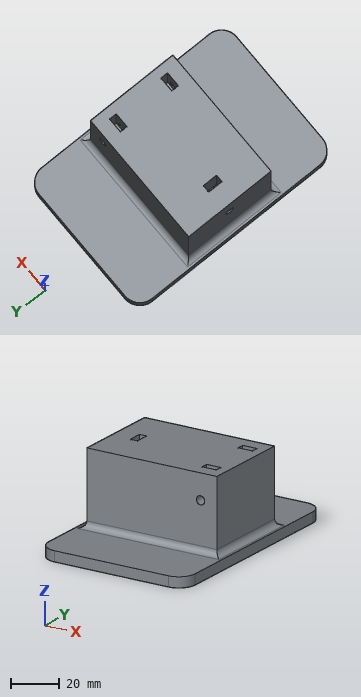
import cadquery as cq

plate_x = 72.0
plate_y = 105.6
plate_z = 5.0
plate_corner_radius = 8.0

total_z = 40.0
block_x = 64.0
block_y = 44.0
block_z = total_z - plate_z
foot_radius = 3.0

slot_length = 7.0
slot_width = 3.5
pair_slot_x = 24.0
pair_slot_y = 13.7
single_slot_x = -20.8
pin_diameter = 4.0
pin_depth = 12.0
pin_z = total_z - pin_depth
slot_depth = pin_depth + slot_length / 2


def make_plate():
    plate = cq.Workplane("XY").box(plate_x, plate_y, plate_z, centered=(True, True, False))
    return plate.edges("|Z").fillet(plate_corner_radius)


def make_block():
    return (
        cq.Workplane("XY")
        .workplane(offset=plate_z)
        .box(block_x, block_y, block_z, centered=(True, True, False))
    )


def make_foot_cove():
    """Concave flare around the block, with mitred corners."""
    reach_x = block_x / 2 + foot_radius
    reach_y = block_y / 2 + foot_radius
    foot = (
        cq.Workplane("XY")
        .workplane(offset=plate_z)
        .box(2 * reach_x, 2 * reach_y, foot_radius, centered=(True, True, False))
    )
    cove_z = plate_z + foot_radius
    for side in (-1, 1):
        groove_along_y = (
            cq.Workplane("XZ", origin=(side * reach_x, reach_y, cove_z))
            .circle(foot_radius)
            .extrude(2 * reach_y)
        )
        groove_along_x = (
            cq.Workplane("YZ", origin=(-reach_x, side * reach_y, cove_z))
            .circle(foot_radius)
            .extrude(2 * reach_x)
        )
        foot = foot.cut(groove_along_y).cut(groove_along_x)
    return foot


def make_slot(x, y, size_x, size_y):
    return (
        cq.Workplane("XY")
        .workplane(offset=total_z - slot_depth)
        .center(x, y)
        .rect(size_x, size_y)
        .extrude(slot_depth)
    )


def make_cross_pin_hole():
    """Hole along Y through the whole block, crossing both paired slots."""
    return (
        cq.Workplane("XZ", origin=(pair_slot_x, block_y / 2, pin_z))
        .circle(pin_diameter / 2)
        .extrude(block_y)
    )


def make_end_pin_hole():
    """Blind hole along X from the -X face to the far wall of the single slot."""
    hole_end_x = single_slot_x + slot_width / 2
    return (
        cq.Workplane("YZ")
        .workplane(offset=-block_x / 2)
        .center(0, pin_z)
        .circle(pin_diameter / 2)
        .extrude(hole_end_x + block_x / 2)
    )


result = make_plate().union(make_foot_cove()).union(make_block())
for side in (-1, 1):
    result = result.cut(make_slot(pair_slot_x, side * pair_slot_y, slot_length, slot_width))
result = result.cut(make_slot(single_slot_x, 0, slot_width, slot_length))
result = result.cut(make_cross_pin_hole()).cut(make_end_pin_hole())